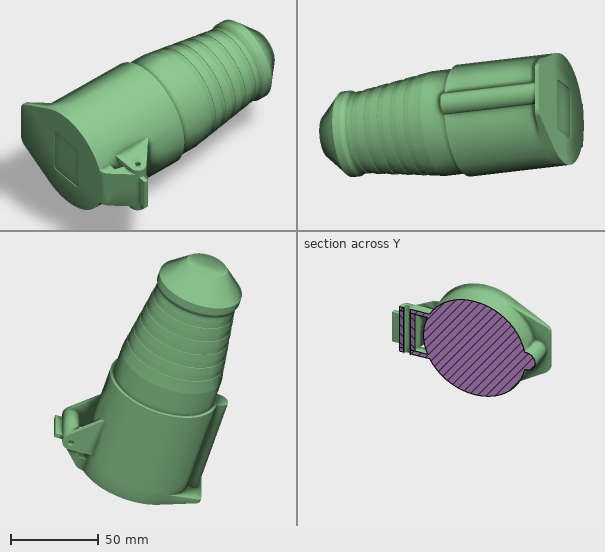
import cadquery as cq
import math


LID_THICKNESS = 7.4
HOUSING_END = 60.9
BOOT_END = 145.0

HOUSING_RADIUS = 64.5 / 2
RIB_REACH = 38.4
RIB_RADIUS = 6.1

HINGE_X = 42.5
HINGE_Y = 17.8
KNUCKLE_RADIUS = 5.0
ARM_HALF_WIDTH = 12.5
EAR_THICKNESS = 3.0
EAR_OUTER_Z = ARM_HALF_WIDTH + EAR_THICKNESS
EAR_ROOT_X = 27.5
EAR_CORNER_Y = 38.0
EAR_BASE_Y = HINGE_Y - KNUCKLE_RADIUS

PIN_DIAMETER = 4.0
PIN_BORE = 3.5
PIN_FLARE_DIAMETER = 5.2
PIN_FLARE_HEIGHT = 0.9

FLAP_REACH = 40.5
FLAP_TIP_THICKNESS = 2.2
FLAP_CORNER_RADIUS = 5.0
TANGENT_X = 15.7

ARM_ROOT_X = 27.5
ARM_SLOPE_X = 32.9
ARM_INNER_X = 34.5

TAB_REACH = 51.8
TAB_BASE_Y = 15.2
TAB_THICKNESS = 2.6
TAB_WIDTH = 20.3

LABEL_WIDTH = 22.0
LABEL_HEIGHT = 30.2
LABEL_CORNER_RADIUS = 2.9
LABEL_DEPTH = 0.5

BOOT_RADIUS = 60.5 / 2
CONE_START = 76.3
NECK_RADIUS = 23.3
NECK_START = 124.8
COLLAR_RADIUS = 49.5 / 2
COLLAR_START = 127.5
COLLAR_END = 132.2
TIP_RADIUS = 12.0
GROOVE_COUNT = 5
GROOVE_START = 84.1
GROOVE_PITCH = 8.4
GROOVE_WIDTH = 3.5
GROOVE_DEPTH = 0.5


def knuckle_point(angle):
    """Point on the knuckle circle, angle in radians from +X."""
    return (HINGE_X + KNUCKLE_RADIUS * math.cos(angle), HINGE_Y + KNUCKLE_RADIUS * math.sin(angle))


def tangent_angle(x, y, side):
    """Angle on the knuckle circle where a line from (x, y) touches it; side is +1 or -1."""
    distance = math.hypot(x - HINGE_X, y - HINGE_Y)
    return math.atan2(y - HINGE_Y, x - HINGE_X) + side * math.acos(KNUCKLE_RADIUS / distance)


def prism_z(sketch, z_start, z_end):
    """Extrude an XY outline between two heights."""
    return sketch.extrude(z_end - z_start).translate((0, 0, z_start))


def along_axis(sketch, y_start, y_end):
    """Extrude an XZ outline along +Y between two positions."""
    return sketch.extrude(y_start - y_end).translate((0, y_start, 0))


def hinge_hole():
    sketch = cq.Workplane("XY").center(HINGE_X, HINGE_Y).circle(PIN_DIAMETER / 2)
    return prism_z(sketch, -EAR_OUTER_Z, EAR_OUTER_Z)


def barrel_section(y_start, y_end):
    """Round barrel with the round-nosed rib on its -X side."""
    rib_centre_x = RIB_RADIUS - RIB_REACH
    rib_sketch = (
        cq.Workplane("XZ")
        .moveTo(0, -RIB_RADIUS)
        .lineTo(rib_centre_x, -RIB_RADIUS)
        .threePointArc((-RIB_REACH, 0), (rib_centre_x, RIB_RADIUS))
        .lineTo(0, RIB_RADIUS)
        .close()
    )
    barrel = along_axis(cq.Workplane("XZ").circle(HOUSING_RADIUS), y_start, y_end)
    return barrel.union(along_axis(rib_sketch, y_start, y_end))


def ear_sketch():
    slope_angle = tangent_angle(EAR_ROOT_X, EAR_CORNER_Y, -1)
    base_angle = -math.pi / 2
    return (
        cq.Workplane("XY")
        .moveTo(EAR_ROOT_X, EAR_BASE_Y)
        .lineTo(HINGE_X, EAR_BASE_Y)
        .threePointArc(knuckle_point((base_angle + slope_angle) / 2), knuckle_point(slope_angle))
        .lineTo(EAR_ROOT_X, EAR_CORNER_Y)
        .close()
    )


def make_housing():
    body = barrel_section(LID_THICKNESS, HOUSING_END)
    for z_start in (-EAR_OUTER_Z, ARM_HALF_WIDTH):
        body = body.union(prism_z(ear_sketch(), z_start, z_start + EAR_THICKNESS))
    return body.cut(hinge_hole())


def make_flap():
    """Flap tangent to the lid circle, thinning towards its tip."""
    tangent_z = math.sqrt(HOUSING_RADIUS**2 - TANGENT_X**2)
    tip_z = tangent_z - (FLAP_REACH - TANGENT_X) * TANGENT_X / tangent_z
    outline = (
        cq.Workplane("XZ")
        .polyline([
            (-TANGENT_X, -tangent_z),
            (-FLAP_REACH, -tip_z),
            (-FLAP_REACH, tip_z),
            (-TANGENT_X, tangent_z),
        ])
        .close()
    )
    plate = along_axis(outline, 0, LID_THICKNESS).edges("|Y and <X").fillet(FLAP_CORNER_RADIUS)
    side_profile = (
        cq.Workplane("XY")
        .polyline([
            (-TANGENT_X, 0),
            (-FLAP_REACH, 0),
            (-FLAP_REACH, FLAP_TIP_THICKNESS),
            (-TANGENT_X, LID_THICKNESS),
        ])
        .close()
    )
    return plate.intersect(prism_z(side_profile, -HOUSING_RADIUS, HOUSING_RADIUS))


def slope_rounding_wire(z, slope_angle):
    """Sliver between the sharp lower corner of the arm and its rounding, at one height.

    The rounding starts on the lid circle and runs tangent into the lid face and the outer slope.
    """
    setback = ARM_SLOPE_X - math.sqrt(HOUSING_RADIUS**2 - z**2)
    radius = setback / math.tan(slope_angle / 2)
    start = (ARM_SLOPE_X - setback, 0)
    middle = (start[0] + radius * math.sin(slope_angle / 2), radius * (1 - math.cos(slope_angle / 2)))
    end = (start[0] + radius * math.sin(slope_angle), radius * (1 - math.cos(slope_angle)))
    sketch = cq.Workplane("XY").workplane(offset=z).moveTo(*start).threePointArc(middle, end)
    return sketch.lineTo(ARM_SLOPE_X, 0).close().val()


def make_slope_rounding(slope_angle):
    heights = (-ARM_HALF_WIDTH, 0, ARM_HALF_WIDTH)
    return cq.Workplane(cq.Solid.makeLoft([slope_rounding_wire(z, slope_angle) for z in heights]))


def make_arm():
    """Hinge arm: two slopes that run tangent into the knuckle around the pin."""
    outer_angle = tangent_angle(ARM_SLOPE_X, 0, 1)
    inner_angle = tangent_angle(ARM_INNER_X, LID_THICKNESS, -1) % (2 * math.pi)
    outline = (
        cq.Workplane("XY")
        .moveTo(ARM_ROOT_X, 0)
        .lineTo(ARM_SLOPE_X, 0)
        .lineTo(*knuckle_point(outer_angle))
        .threePointArc(knuckle_point((outer_angle + inner_angle) / 2), knuckle_point(inner_angle))
        .lineTo(ARM_INNER_X, LID_THICKNESS)
        .lineTo(ARM_ROOT_X, LID_THICKNESS)
        .close()
    )
    arm = prism_z(outline, -ARM_HALF_WIDTH, ARM_HALF_WIDTH)
    slope_angle = outer_angle + math.pi / 2
    return arm.cut(make_slope_rounding(slope_angle))


def make_tab():
    return cq.Workplane("XY").box(
        TAB_REACH - HINGE_X, TAB_THICKNESS, TAB_WIDTH, centered=(False, False, True)
    ).translate((HINGE_X, TAB_BASE_Y, 0))


def make_label_recess():
    sketch = cq.Workplane("XZ").rect(LABEL_WIDTH, LABEL_HEIGHT)
    return along_axis(sketch, 0, LABEL_DEPTH).edges("|Y").fillet(LABEL_CORNER_RADIUS)


def make_lid():
    body = barrel_section(0, LID_THICKNESS)
    for addition in (make_flap(), make_arm(), make_tab()):
        body = body.union(addition)
    return body.cut(hinge_hole()).cut(make_label_recess())


def make_pin():
    """Hollow rivet through both ears and the knuckle, flared outside the ears."""
    bore_radius = PIN_BORE / 2
    shank_radius = PIN_DIAMETER / 2
    flare_radius = PIN_FLARE_DIAMETER / 2
    end_z = EAR_OUTER_Z + PIN_FLARE_HEIGHT
    return (
        cq.Workplane("XZ")
        .polyline([
            (bore_radius, -end_z),
            (flare_radius, -end_z),
            (shank_radius, -EAR_OUTER_Z),
            (shank_radius, EAR_OUTER_Z),
            (flare_radius, end_z),
            (bore_radius, end_z),
        ])
        .close()
        .revolve(360, (0, 0, 0), (0, 1, 0))
        .translate((HINGE_X, HINGE_Y, 0))
    )


def cone_radius(y):
    """Outer radius of the tapered part of the boot."""
    return BOOT_RADIUS - (BOOT_RADIUS - NECK_RADIUS) * (y - CONE_START) / (NECK_START - CONE_START)


def make_boot():
    """Tapered boot with ring grooves, an end collar and a conical tip."""
    profile = [(0, HOUSING_END), (BOOT_RADIUS, HOUSING_END), (BOOT_RADIUS, CONE_START)]
    for index in range(GROOVE_COUNT):
        groove_start = GROOVE_START + index * GROOVE_PITCH
        groove_end = groove_start + GROOVE_WIDTH
        profile += [
            (cone_radius(groove_start), groove_start),
            (cone_radius(groove_start) - GROOVE_DEPTH, groove_start),
            (cone_radius(groove_end) - GROOVE_DEPTH, groove_end),
            (cone_radius(groove_end), groove_end),
        ]
    profile += [
        (NECK_RADIUS, NECK_START),
        (COLLAR_RADIUS, COLLAR_START),
        (COLLAR_RADIUS, COLLAR_END),
        (TIP_RADIUS, BOOT_END),
        (0, BOOT_END),
    ]
    return cq.Workplane("XY").polyline(profile).close().revolve(360, (0, 0, 0), (0, 1, 0))


housing = make_housing()
lid = make_lid()
pin = make_pin()
boot = make_boot()

result = cq.Compound.makeCompound([housing.solids().val(), lid.solids().val(), pin.val(), boot.val()])